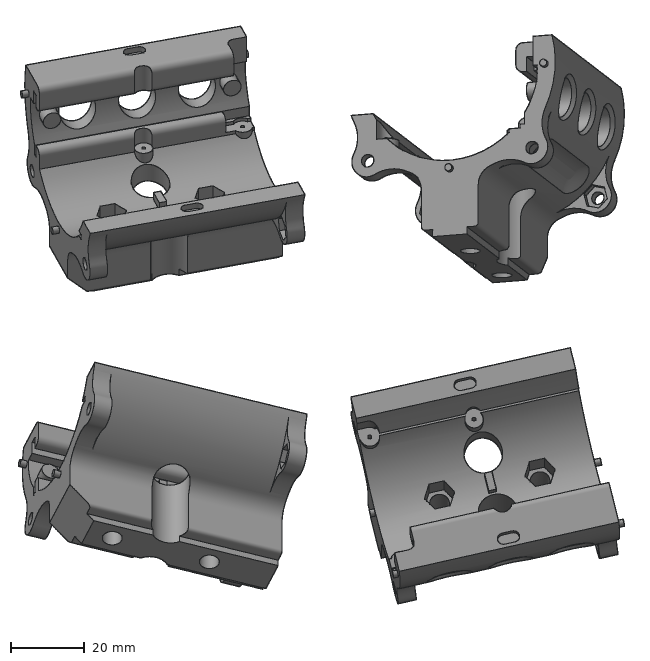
import cadquery as cq
import math


body_length = 61.35
body_half = body_length / 2
outer_radius = 30.1
bore_radius = 25.35
upper_bore_radius = 24.3
left_top = 7.55
right_top = -10.6

hook_tip_x = -16.95
hook_under_z = -0.6
hook_inner_x = -24.95
slot_inner_x = -20.05
upper_slot_x = -22.2
upper_slot_top = 3.5
lower_slot_x = -21.3
lower_slot_floor = -16.85
post_top = -13.0
hook_round = 2.0

undercut_top = -16.25
ledge_z = -17.85
undercut_x = 20.1

foot_half_width = 8.1
foot_fillet = 5.5
foot_edge_round = 1.0
tab_half_width = 4.9
tab_height = 2.0
bottom_z = -46.45
foot_bottom = bottom_z + tab_height
front_bevel = 8.05

lug_x = 23.5
lug_z = -23.7
lug_radius = 4.5
lug_blend = 10.0
lug_thickness = 5.0
lug_hole = 3.5
nut_width = 6.0
nut_turn = 15
nut_depth = 2.0

pin_diameter = 2.0
front_pin_length = 1.9
overall_length = 64.5
back_pin_length = overall_length - body_length - front_pin_length
pin_places = [(-27.1, -0.45), (0, -27.7)]

window_diameter = 10.5
window_chamfer = 1.0
window_rim_inner_x = -26.45
window_pitch = 17.1
window_middle_y = -0.4
window_z = -6.6

floor_holes_y = -1.7
foot_hole_diameter = 10.5
foot_hole_x = 8.5
bolt_diameter = 5.4
bolt_pitch = 28.05
bolt_middle_y = -1.5
bolt_nut_width = 7.3
bolt_nut_floor = -32.9

stop_width = 5.2
stop_length = 2.1
stop_top = -22.95

screw_diameter = 1.0
screw_depth = 3.2
boss_depth = 3.9
middle_boss = {"x": 16.65, "y": -1.0, "diameter": 5.0}
back_boss = {"x": 18.25, "y": 27.75, "diameter": 5.4}

notch_x = -23.75
notch_front_y = 24.85
notch_round = 2.0
post_back_y = 22.6

side_boss_diameter = 5.0
side_boss_end_x = -21.1
side_boss_y = 25.75

top_slot_width = 3.2
top_slot_length = 6.05
top_slot_depth = 1.75
top_slot_y = -0.45
top_slot_places = [(-26.6, left_top), (24.7, right_top)]

groove_radius = 8.0
groove_x = -25.35
groove_z = -25.6
groove_straight = 30.25
groove_y = -0.5
groove_floor = 7.9


def on_circle(radius, angle):
    """Point on a circle about the bore axis, angle in radians from +X."""
    return (radius * math.cos(angle), radius * math.sin(angle))


def at_height(radius, z, side):
    """Point on a bore-centred circle at height z; side is -1 (left) or 1 (right)."""
    return (side * math.sqrt(radius**2 - z**2), z)


def below_axis(radius, x):
    """Lower point of a bore-centred circle at the given x."""
    return (x, -math.sqrt(radius**2 - x**2))


def arc_middle(center, start, end):
    """Middle of the shorter arc between two points about a center."""
    mx = (start[0] + end[0]) / 2 - center[0]
    mz = (start[1] + end[1]) / 2 - center[1]
    stretch = math.dist(center, start) / math.hypot(mx, mz)
    return (center[0] + mx * stretch, center[1] + mz * stretch)


def arc(wire, center, start, end):
    return wire.threePointArc(arc_middle(center, start, end), end)


def along_y(sketch, front, back):
    """Extrude an XZ outline drawn on the XZ plane from y = front to y = back."""
    return sketch.extrude(front - back).translate((0, front, 0))


def cylinder_z(x, y, diameter, bottom, top):
    return cq.Workplane("XY", origin=(x, y, bottom)).circle(diameter / 2).extrude(top - bottom)


def cylinder_y(x, z, diameter, front, back):
    return cq.Workplane("XZ", origin=(x, front, z)).circle(diameter / 2).extrude(front - back)


def hexagon(plane, across_flats):
    return plane.polygon(6, across_flats / math.cos(math.pi / 6))


def box(x_range, y_range, z_range):
    low, high = zip(x_range, y_range, z_range)
    size = [b - a for a, b in zip(low, high)]
    return cq.Workplane("XY").box(*size, centered=False).translate(low)


def body():
    """Open tube with a hooked left wall, standing on the foot block."""
    axis = (0, 0)
    blend_x = foot_half_width + foot_fillet
    blend_z = below_axis(outer_radius + foot_fillet, blend_x)[1]
    blend_angle = math.atan2(blend_z, blend_x)
    right_tangent = on_circle(outer_radius, blend_angle)
    left_tangent = (-right_tangent[0], right_tangent[1])
    left_corner = at_height(outer_radius, left_top, -1)
    right_corner = at_height(outer_radius, right_top, 1)
    bore_left = below_axis(bore_radius, hook_tip_x)
    bore_right = at_height(bore_radius, ledge_z, 1)
    round_x = hook_tip_x - hook_round

    wire = cq.Workplane("XZ").moveTo(*left_corner)
    wire = wire.threePointArc(on_circle(outer_radius, 1.15 * math.pi), left_tangent)
    wire = arc(wire, (-blend_x, blend_z), left_tangent, (-foot_half_width, blend_z))
    wire = wire.lineTo(-foot_half_width, foot_bottom).lineTo(foot_half_width, foot_bottom)
    wire = wire.lineTo(foot_half_width, blend_z)
    wire = arc(wire, (blend_x, blend_z), (foot_half_width, blend_z), right_tangent)
    wire = arc(wire, axis, right_tangent, right_corner)

    upper_start = at_height(upper_bore_radius, right_top, 1)
    upper_end = at_height(upper_bore_radius, undercut_top, 1)
    wire = arc(wire.lineTo(*upper_start), axis, upper_start, upper_end)
    wire = wire.lineTo(undercut_x, undercut_top).lineTo(undercut_x, ledge_z).lineTo(*bore_right)
    wire = arc(wire, axis, bore_right, bore_left)

    post_corner = (hook_tip_x, post_top - hook_round)
    wire = wire.lineTo(*post_corner)
    wire = arc(wire, (round_x, post_corner[1]), post_corner, (round_x, post_top))
    wire = wire.lineTo(slot_inner_x, post_top).lineTo(slot_inner_x, lower_slot_floor)
    wire = wire.lineTo(lower_slot_x, lower_slot_floor)
    wall_start = below_axis(bore_radius, lower_slot_x)
    wall_end = below_axis(bore_radius, hook_inner_x)
    wire = arc(wire.lineTo(*wall_start), axis, wall_start, wall_end)

    wire = wire.lineTo(hook_inner_x, hook_under_z).lineTo(upper_slot_x, hook_under_z)
    wire = wire.lineTo(upper_slot_x, upper_slot_top).lineTo(slot_inner_x, upper_slot_top)
    wire = wire.lineTo(slot_inner_x, hook_under_z).lineTo(round_x, hook_under_z)
    lower_round = (hook_tip_x, hook_under_z + hook_round)
    wire = arc(wire, (round_x, lower_round[1]), (round_x, hook_under_z), lower_round)
    upper_round = (hook_tip_x, left_top - hook_round)
    wire = wire.lineTo(*upper_round)
    wire = arc(wire, (round_x, upper_round[1]), upper_round, (round_x, left_top))
    solid = along_y(wire.close(), -body_half, body_half)

    foot_edges = cq.selectors.BoxSelector(
        (-foot_half_width - 0.65, -body_half - 0.65, foot_bottom - 0.65),
        (foot_half_width + 0.65, body_half + 0.65, foot_bottom + 0.65),
    )
    solid = solid.edges("|Y").edges(foot_edges).fillet(foot_edge_round)
    return solid.union(
        box((-tab_half_width, tab_half_width), (-body_half, body_half), (bottom_z, foot_bottom + 0.65))
    )


def bevel_cutter():
    """Wedge that takes the lower front edge off the foot."""
    return (
        cq.Workplane("YZ", origin=(-foot_half_width - 0.65, 0, 0))
        .moveTo(-body_half, bottom_z)
        .lineTo(-body_half + front_bevel, bottom_z)
        .lineTo(-body_half, bottom_z + front_bevel)
        .close()
        .extrude(2 * foot_half_width + 1.3)
    )


def left_lug(front, back):
    """Round ear on the lower left diagonal, blended into the tube on both flanks."""
    lug_reach = math.hypot(lug_x, lug_z)
    lug_center = (-lug_x, lug_z)
    diagonal = math.atan2(lug_z, -lug_x)
    to_tube = outer_radius + lug_blend
    to_lug = lug_radius + lug_blend
    swing = math.acos((to_tube**2 + lug_reach**2 - to_lug**2) / (2 * to_tube * lug_reach))

    flanks = []
    for angle in (diagonal - swing, diagonal + swing):
        center = on_circle(to_tube, angle)
        share = lug_radius / to_lug
        on_lug = tuple(a + (b - a) * share for a, b in zip(lug_center, center))
        flanks.append((center, on_circle(outer_radius, angle), on_lug))
    (upper, upper_tube, upper_lug), (lower, lower_tube, lower_lug) = flanks

    wire = cq.Workplane("XZ").moveTo(*upper_tube)
    wire = arc(wire, upper, upper_tube, upper_lug)
    wire = wire.threePointArc(on_circle(lug_reach + lug_radius, diagonal), lower_lug)
    wire = arc(wire, lower, lower_lug, lower_tube)
    return along_y(wire.close(), front, back)


def add_lugs(solid):
    inner_y = body_half - lug_thickness
    for front, back, pocket in (
        (-body_half, -inner_y, (-inner_y - nut_depth, -inner_y)),
        (inner_y, body_half, (inner_y, inner_y + nut_depth)),
    ):
        lug = left_lug(front, back).cut(cylinder_y(-lug_x, lug_z, lug_hole, front, back))
        nut = along_y(hexagon(cq.Workplane("XZ"), nut_width), *pocket)
        nut = nut.rotate((0, 0, 0), (0, 1, 0), -nut_turn)
        lug = lug.cut(nut.translate((-lug_x, 0, lug_z)))
        solid = solid.union(lug).union(lug.mirror("YZ"))
    return solid


def add_screw_boss(solid, side, boss):
    """Boss level with the ledge, with clear access for the screw above it."""
    x = side * boss["x"]
    y = boss["y"]
    solid = solid.cut(cylinder_z(x, y, boss["diameter"], ledge_z, left_top + 0.65))
    solid = solid.union(cylinder_z(x, y, boss["diameter"], ledge_z - boss_depth, ledge_z))
    return solid.cut(cylinder_z(x, y, screw_diameter, ledge_z - screw_depth, ledge_z))


def back_access_cutters():
    """Clearance behind and above the two back bosses, open to the back face."""
    top = left_top + 0.65
    radius = back_boss["diameter"] / 2
    boss_x = back_boss["x"]
    right = box((boss_x - radius, boss_x + radius), (back_boss["y"], body_half), (ledge_z, top))
    left = box((notch_x, hook_tip_x), (notch_front_y, body_half), (hook_under_z, top))
    left = left.edges("|Z and <X and <Y").fillet(notch_round)
    post = box((slot_inner_x, hook_tip_x), (post_back_y, body_half), (ledge_z, post_top))
    return right.union(left).union(post)


def cut_window(solid, y):
    """Hole through the left wall with its outer rim chamfered."""
    hole = cq.Workplane("YZ", origin=(-outer_radius - 0.65, y, window_z)).circle(window_diameter / 2)
    solid = solid.cut(hole.extrude(outer_radius + hook_tip_x))
    radius = window_diameter / 2 + 0.65
    rim = cq.selectors.BoxSelector(
        (-outer_radius - 0.65, y - radius, window_z - radius),
        (window_rim_inner_x, y + radius, window_z + radius),
        boundingbox=True,
    )
    return solid.edges(rim).chamfer(window_chamfer)


def groove_cutter():
    """Round-ended groove with a narrow flat floor, along the lower left diagonal."""
    front = -groove_straight / 2
    groove = cylinder_y(0, 0, 2 * groove_radius, front, -front)
    for end in (front, -front):
        groove = groove.union(cq.Workplane("XY").sphere(groove_radius).translate((0, end, 0)))
    reach = groove_straight / 2 + groove_radius
    keep = box((-groove_radius, groove_floor), (-reach, reach), (-groove_radius, groove_radius))
    groove = groove.intersect(keep).rotate((0, 0, 0), (0, 1, 0), -45)
    return groove.translate((groove_x, groove_y, groove_z))


def top_slot_cutter(x, top):
    slot = cq.Workplane("XY", origin=(x, top_slot_y, top))
    return slot.slot2D(top_slot_length, top_slot_width, 90).extrude(-top_slot_depth)


result = body().cut(bevel_cutter())
result = add_lugs(result)

for side_boss_place in (-side_boss_y, side_boss_y):
    side_boss = cq.Workplane("YZ", origin=(hook_inner_x - 0.65, side_boss_place, window_z))
    side_boss = side_boss.circle(side_boss_diameter / 2).extrude(side_boss_end_x - hook_inner_x + 0.65)
    result = result.union(side_boss)

result = result.cut(back_access_cutters())
for boss_side in (-1, 1):
    for screw_boss in (middle_boss, back_boss):
        result = add_screw_boss(result, boss_side, screw_boss)

result = result.cut(groove_cutter())

for step in (-1, 0, 1):
    result = cut_window(result, window_middle_y + step * window_pitch)

for foot_side in (-1, 1):
    result = result.cut(
        cylinder_z(foot_side * foot_hole_x, floor_holes_y, foot_hole_diameter, bottom_z, ledge_z)
    )

for bolt_side in (-1, 1):
    bolt_y = bolt_middle_y + bolt_side * bolt_pitch / 2
    nut_pocket = cq.Workplane("XY", origin=(0, bolt_y, bolt_nut_floor))
    nut_pocket = hexagon(nut_pocket.transformed(rotate=(0, 0, 30)), bolt_nut_width)
    result = result.cut(nut_pocket.extrude(ledge_z - bolt_nut_floor))
    result = result.cut(cylinder_z(0, bolt_y, bolt_diameter, bottom_z, ledge_z))

result = result.union(
    box(
        (-stop_width / 2, stop_width / 2),
        (floor_holes_y - stop_length / 2, floor_holes_y + stop_length / 2),
        (-bore_radius - 0.65, stop_top),
    )
)

for slot_x, slot_top in top_slot_places:
    result = result.cut(top_slot_cutter(slot_x, slot_top))

for pin_x, pin_z in pin_places:
    for pin_front, pin_back in (
        (-body_half - front_pin_length, -body_half),
        (body_half, body_half + back_pin_length),
    ):
        result = result.union(cylinder_y(pin_x, pin_z, pin_diameter, pin_front, pin_back))